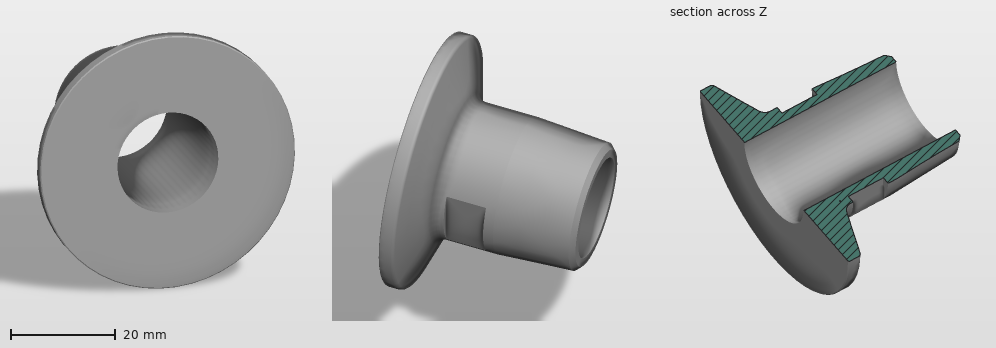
import cadquery as cq
import math

length = 35.0
flange_radius = 50.5 / 2
bore_radius = 10.0

end_chamfer_length = 1.0
end_face_radius = 11.65
taper_end = 16.0
taper_length = taper_end - end_chamfer_length
taper_slope = 1 / 16

neck_radius = 13.65
flat_distance = 12.0
flat_length = 8.0
front_flat_start = 17.0
rear_flat_start = 18.0

neck_end = 26.5
neck_fillet = 2.0
cone_angle = math.radians(70)
rim_round = 0.8
face_chamfer = 0.2


def crest_point(center, radius, angle):
    """Point (x, r) on an arc, swung from its outermost point toward -X."""
    return (center[0] - radius * math.sin(angle), center[1] + radius * math.cos(angle))


def root_point(center, radius, angle):
    """Point (x, r) on an arc, swung from its innermost point toward +X."""
    return (center[0] + radius * math.sin(angle), center[1] - radius * math.cos(angle))


def make_body():
    taper_start_radius = neck_radius - taper_length * taper_slope

    fillet_center = (neck_end, neck_radius + neck_fillet)
    fillet_mid = root_point(fillet_center, neck_fillet, cone_angle / 2)
    cone_start = root_point(fillet_center, neck_fillet, cone_angle)

    rim_center_radius = flange_radius - rim_round
    cone_end_radius = rim_center_radius + rim_round * math.cos(cone_angle)
    cone_end_x = cone_start[0] + (cone_end_radius - cone_start[1]) / math.tan(cone_angle)
    rim_center = (cone_end_x + rim_round * math.sin(cone_angle), rim_center_radius)
    rim_mid = crest_point(rim_center, rim_round, cone_angle / 2)

    profile = (
        cq.Workplane("XZ")
        .moveTo(0, bore_radius)
        .lineTo(0, end_face_radius)
        .lineTo(end_chamfer_length, taper_start_radius)
        .lineTo(taper_end, neck_radius)
        .lineTo(neck_end, neck_radius)
        .threePointArc(fillet_mid, cone_start)
        .lineTo(cone_end_x, cone_end_radius)
        .threePointArc(rim_mid, (rim_center[0], flange_radius))
        .lineTo(length - face_chamfer, flange_radius)
        .lineTo(length, flange_radius - face_chamfer)
        .lineTo(length, bore_radius)
        .close()
    )
    return profile.revolve(360, (0, 0, 0), (1, 0, 0))


def flat_cutter(start, side):
    """Block that leaves one flat on the neck; side is -1 for -Y and +1 for +Y."""
    depth = neck_radius - flat_distance
    cutter = cq.Workplane("XY").box(flat_length, 2 * depth, 2 * neck_radius)
    return cutter.translate((start + flat_length / 2, side * neck_radius, 0))


result = make_body()
for start, side in ((front_flat_start, -1), (rear_flat_start, 1)):
    result = result.cut(flat_cutter(start, side))